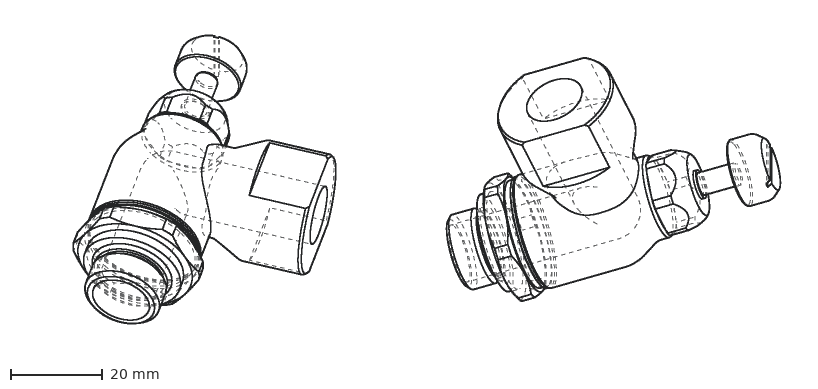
import cadquery as cq
import math


thread_radius = 8.5
thread_chamfer = 0.9
thread_length = 6.0
relief_radius = 7.55
relief_start = 6.9
relief_end = 7.5
flare_radius = 9.1
flare_end = 8.35
collar_radius = 11.05

base_nut_start = 10.6
base_nut_end = 15.35
base_nut_flats = 26.0
base_nut_radius = 14.3
base_nut_chamfer = 0.8

groove_radius = 12.2
body_start = 16.8
body_radius = 12.9
body_rim_radius = 12.65
body_rim_end = 17.4
body_chamfer_end = 17.75
dome_start = 35.0
dome_arc_radius = 8.7
dome_slope = math.radians(30)
neck_radius = 9.3
neck_blend_length = 0.9
neck_chamfer = 0.4
neck_chamfer_length = 0.8

bonnet_start = 47.1
bonnet_taper_start = 51.4
bonnet_round_start = 54.45
bonnet_end = 55.75
bonnet_flats = 16.9
bonnet_radius = 9.2
bonnet_shoulder_radius = 7.9
bonnet_top_radius = 6.9

washer_radius = 3.2
washer_end = 56.4
spindle_radius = 2.55
spindle_end = 64.7
spindle_tip_radius = 2.3
knob_start = 65.15
knob_radius = 7.55
knob_chamfer = 0.35
knob_dome_start = 69.8
knob_arc_radius = 2.4
knob_slope = math.radians(40)
total_length = 72.7
slot_width = 1.0
slot_depth = 0.95

port_station = 35.3
port_neck_radius = 10.1
port_neck_start = 9.7
port_root_round = 5.1
port_neck_end = 12.4
port_cone_start = 13.5
port_cone_start_radius = 10.4
port_cone_end = 19.4
port_cone_end_radius = 13.3
port_radius = 27.0 / 2
port_barrel_start = 20.5
port_end = 48.6 - base_nut_radius
port_chamfer = 0.65
port_chamfer_radius = 13.1
port_flats = 22.1
port_flats_start = 20.9

bore_radius = 6.5


def spin(outline):
    """Revolve an outline of (radius, station) about the main axis."""
    return outline.close().revolve(360, (0, 0, 0), (0, 1, 0))


def hexagon(flats, start, end):
    """Hexagonal bar along Y, with two of its flats facing up and down."""
    bar = cq.Workplane("XZ").polygon(6, flats / math.cos(math.pi / 6))
    return bar.extrude(start - end).translate((0, start, 0))


def make_threaded_end():
    outline = (
        cq.Workplane("XY")
        .lineTo(thread_radius - thread_chamfer, 0)
        .lineTo(thread_radius, thread_chamfer)
        .lineTo(thread_radius, thread_length)
        .lineTo(relief_radius, relief_start)
        .lineTo(relief_radius, relief_end)
        .lineTo((relief_radius + flare_radius) / 2, relief_end)
        .lineTo(flare_radius, flare_end)
        .lineTo(collar_radius, flare_end)
        .lineTo(collar_radius, base_nut_start)
        .lineTo(0, base_nut_start)
    )
    return spin(outline)


def make_base_nut():
    face_radius = base_nut_flats / 2
    outline = (
        cq.Workplane("XY")
        .moveTo(0, base_nut_start)
        .lineTo(face_radius, base_nut_start)
        .lineTo(base_nut_radius, base_nut_start + base_nut_chamfer)
        .lineTo(base_nut_radius, base_nut_end - base_nut_chamfer)
        .lineTo(face_radius, base_nut_end)
        .lineTo(0, base_nut_end)
    )
    return spin(outline).intersect(hexagon(base_nut_flats, base_nut_start, base_nut_end))


def make_body():
    def on_dome(angle):
        drop = dome_arc_radius * (1 - math.cos(angle))
        return body_radius - drop, dome_start + dome_arc_radius * math.sin(angle)

    slope_radius, slope_start = on_dome(dome_slope)
    neck_foot = slope_start + (slope_radius - neck_radius) / math.tan(dome_slope)
    blend_start = (
        neck_radius + neck_blend_length * math.sin(dome_slope),
        neck_foot - neck_blend_length * math.cos(dome_slope),
    )
    outline = (
        cq.Workplane("XY")
        .moveTo(0, base_nut_end)
        .lineTo(groove_radius, base_nut_end)
        .lineTo(groove_radius, body_start)
        .lineTo(body_rim_radius, body_start)
        .lineTo(body_rim_radius, body_rim_end)
        .lineTo(body_radius, body_chamfer_end)
        .lineTo(body_radius, dome_start)
        .threePointArc(on_dome(dome_slope / 2), (slope_radius, slope_start))
        .lineTo(*blend_start)
        .tangentArcPoint((neck_radius, neck_foot + neck_blend_length), relative=False)
        .lineTo(neck_radius, bonnet_start - neck_chamfer_length)
        .lineTo(neck_radius - neck_chamfer, bonnet_start)
        .lineTo(0, bonnet_start)
    )
    return spin(outline)


def make_bonnet():
    outline = (
        cq.Workplane("XY")
        .moveTo(0, bonnet_start)
        .lineTo(bonnet_radius, bonnet_start)
        .lineTo(bonnet_radius, bonnet_taper_start)
        .lineTo(bonnet_shoulder_radius, bonnet_round_start)
        .tangentArcPoint((bonnet_top_radius, bonnet_end), relative=False)
        .lineTo(0, bonnet_end)
    )
    return spin(outline).intersect(hexagon(bonnet_flats, bonnet_start, bonnet_end))


def make_spindle_and_knob():
    def on_knob_arc(angle):
        drop = knob_arc_radius * (1 - math.cos(angle))
        return knob_radius - drop, knob_dome_start + knob_arc_radius * math.sin(angle)

    cone_radius, cone_start = on_knob_arc(knob_slope)
    knob_top_radius = cone_radius - (total_length - cone_start) * math.tan(knob_slope)
    outline = (
        cq.Workplane("XY")
        .moveTo(0, bonnet_end)
        .lineTo(washer_radius, bonnet_end)
        .lineTo(washer_radius, washer_end)
        .lineTo(spindle_radius, washer_end)
        .lineTo(spindle_radius, spindle_end)
        .lineTo(spindle_tip_radius, knob_start)
        .lineTo(knob_radius - knob_chamfer, knob_start)
        .lineTo(knob_radius, knob_start + knob_chamfer)
        .lineTo(knob_radius, knob_dome_start)
        .threePointArc(on_knob_arc(knob_slope / 2), (cone_radius, cone_start))
        .lineTo(knob_top_radius, total_length)
        .lineTo(0, total_length)
    )
    slot = cq.Workplane("XY").box(slot_width, 2 * slot_depth, 2 * knob_radius)
    return spin(outline).cut(slot.translate((0, total_length, 0)))


def make_port():
    round_drop = port_root_round * (1 - math.sqrt(0.5))
    root_start = port_neck_start - port_root_round
    outline = (
        cq.Workplane("XY")
        .lineTo(0, port_neck_radius - port_root_round)
        .lineTo(root_start, port_neck_radius - port_root_round)
        .threePointArc(
            (root_start + round_drop, port_neck_radius - round_drop),
            (port_neck_start, port_neck_radius),
        )
        .lineTo(port_neck_end, port_neck_radius)
        .tangentArcPoint((port_cone_start, port_cone_start_radius), relative=False)
        .lineTo(port_cone_end, port_cone_end_radius)
        .tangentArcPoint((port_barrel_start, port_radius), relative=False)
        .lineTo(port_end - port_chamfer, port_radius)
        .lineTo(port_end, port_chamfer_radius)
        .lineTo(port_end, 0)
        .close()
    )
    port = outline.revolve(360, (0, 0, 0), (1, 0, 0))

    flats_length = port_end - port_flats_start
    flats_middle = port_flats_start + flats_length / 2
    cutter_height = port_radius
    for side in (1, -1):
        cutter = cq.Workplane("XY").box(flats_length, 2 * port_radius, cutter_height)
        port = port.cut(cutter.translate((flats_middle, 0, side * (port_flats + cutter_height) / 2)))
    return port.translate((0, port_station, 0))


def make_inlet_bore():
    """Bore from the threaded end, closed by a hemisphere centred on the port axis."""
    round_drop = bore_radius * (1 - math.sqrt(0.5))
    outline = (
        cq.Workplane("XY")
        .lineTo(bore_radius, 0)
        .lineTo(bore_radius, port_station)
        .threePointArc(
            (bore_radius - round_drop, port_station + bore_radius * math.sqrt(0.5)),
            (0, port_station + bore_radius),
        )
    )
    return spin(outline)


def make_outlet_bore():
    """Bore of the same size from the main axis out through the port face."""
    return cq.Workplane("YZ").center(port_station, 0).circle(bore_radius).extrude(port_end)


result = (
    make_threaded_end()
    .union(make_base_nut())
    .union(make_body())
    .union(make_bonnet())
    .union(make_spindle_and_knob())
    .union(make_port())
    .cut(make_inlet_bore())
    .cut(make_outlet_bore())
)